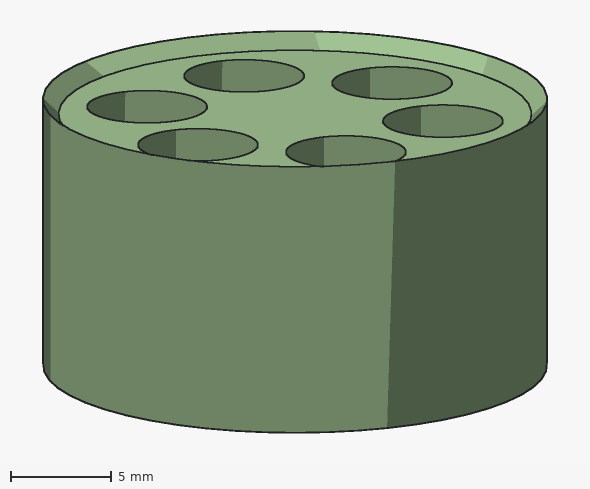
import cadquery as cq

body_diameter = 25.2
body_height = 13.8

recess_depth = 0.78
floor_radius = body_diameter / 2 - recess_depth

hole_count = 6
hole_diameter = 6.0
hole_circle_radius = 7.5
first_hole_angle = 90.0


def make_body():
    return cq.Workplane("XY").circle(body_diameter / 2).extrude(body_height)


def make_recess():
    """Truncated cone, wide at the top rim and narrow at the floor."""
    floor_height = body_height - recess_depth
    return (
        cq.Workplane("XZ")
        .moveTo(0, floor_height)
        .lineTo(floor_radius, floor_height)
        .lineTo(body_diameter / 2, body_height)
        .lineTo(0, body_height)
        .close()
        .revolve(360, (0, 0, 0), (0, 1, 0))
    )


def make_holes():
    return (
        cq.Workplane("XY")
        .polarArray(hole_circle_radius, first_hole_angle, 360, hole_count)
        .circle(hole_diameter / 2)
        .extrude(body_height)
    )


result = make_body().cut(make_recess()).cut(make_holes())